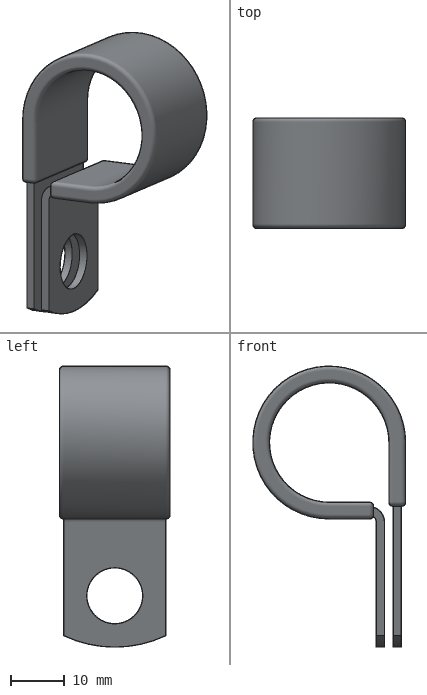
import cadquery as cq
import math

outer_radius = 14.25
cushion_thickness = 3.15
cushion_width = 20.6
edge_radius = 0.8
side_run = 11.9
bottom_run = 8.25

strap_thickness = 1.55
strap_width = cushion_width - 2 * edge_radius
leg_gap = 1.55
bend_outer_radius = 3.0
total_height = 52.3
hole_diameter = 10.35
hole_to_tip = 9.6
tip_rise = 2.15

inner_radius = outer_radius - cushion_thickness
middle_radius = outer_radius - cushion_thickness / 2
strap_inner_radius = middle_radius - strap_thickness / 2
tip_z = outer_radius - total_height
near_leg_outer_x = strap_inner_radius - leg_gap
near_leg_inner_x = near_leg_outer_x - strap_thickness
strap_outer_radius = middle_radius + strap_thickness / 2


def extrude_profile(profile, width):
    """Extrude an XZ profile symmetrically about Y = 0."""
    return profile.extrude(width).translate((0, width / 2, 0))


def make_cushion():
    diagonal = math.sqrt(0.5)
    profile = (
        cq.Workplane("XZ")
        .moveTo(outer_radius, -side_run)
        .lineTo(outer_radius, 0)
        .threePointArc((-outer_radius * diagonal, outer_radius * diagonal), (0, -outer_radius))
        .lineTo(bottom_run, -outer_radius)
        .lineTo(bottom_run, -inner_radius)
        .lineTo(0, -inner_radius)
        .threePointArc((-inner_radius * diagonal, inner_radius * diagonal), (inner_radius, 0))
        .lineTo(inner_radius, -side_run)
        .close()
    )
    band = extrude_profile(profile, cushion_width)
    side_end = cq.selectors.NearestToPointSelector((middle_radius, 0, -side_run))
    bottom_end = cq.selectors.NearestToPointSelector((bottom_run, 0, -middle_radius))
    rounded_faces = band.faces("|Y").add(band.faces(side_end)).add(band.faces(bottom_end))
    return rounded_faces.edges().fillet(edge_radius)


def make_far_leg():
    """Straight leg continuing down from the +X side of the cushion."""
    profile = (
        cq.Workplane("XZ")
        .moveTo(strap_inner_radius, tip_z)
        .lineTo(strap_outer_radius, tip_z)
        .lineTo(strap_outer_radius, 0)
        .lineTo(strap_inner_radius, 0)
        .close()
    )
    return extrude_profile(profile, strap_width)


def make_near_leg():
    """Leg that leaves the cushion toward +X and bends down."""
    bend_x = near_leg_outer_x - bend_outer_radius
    bend_z = -strap_inner_radius - bend_outer_radius
    bend_inner_radius = bend_outer_radius - strap_thickness
    profile = (
        cq.Workplane("XZ")
        .moveTo(0, -strap_inner_radius)
        .lineTo(bend_x, -strap_inner_radius)
        .radiusArc((near_leg_outer_x, bend_z), bend_outer_radius)
        .lineTo(near_leg_outer_x, tip_z)
        .lineTo(near_leg_inner_x, tip_z)
        .lineTo(near_leg_inner_x, bend_z)
        .radiusArc((bend_x, -strap_outer_radius), -bend_inner_radius)
        .lineTo(0, -strap_outer_radius)
        .close()
    )
    return extrude_profile(profile, strap_width)


def make_leg_outline():
    """Region in YZ that gives both legs their rounded tip."""
    half_width = strap_width / 2
    outline = (
        cq.Workplane("YZ")
        .moveTo(-half_width, 0)
        .lineTo(-half_width, tip_z + tip_rise)
        .threePointArc((0, tip_z), (half_width, tip_z + tip_rise))
        .lineTo(half_width, 0)
        .close()
    )
    return outline.extrude(outer_radius)


def make_bolt_hole():
    return (
        cq.Workplane("YZ")
        .center(0, tip_z + hole_to_tip)
        .circle(hole_diameter / 2)
        .extrude(outer_radius)
    )


legs = make_far_leg().union(make_near_leg())
legs = legs.intersect(make_leg_outline()).cut(make_bolt_hole())
result = make_cushion().union(legs)